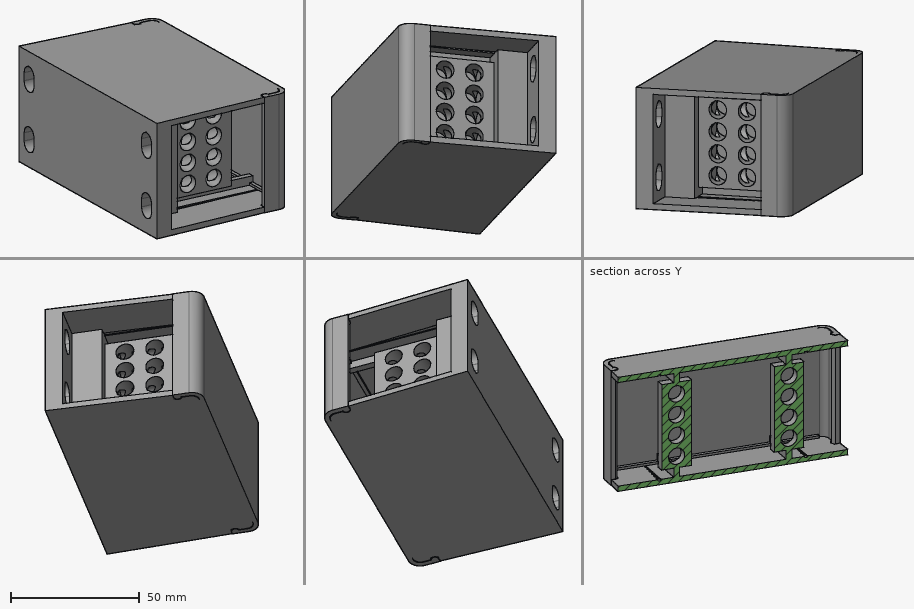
import cadquery as cq
import math

LENGTH = 100.0
DEPTH = 62.0
HEIGHT = 48.0
PLATE = 2.4
FRONT_WALL = 7.0
SIDE_DRAFT = 2.0

LID_HALF_WIDTH = 48.4
LID_WALL = 2.0
LID_SKIRT = 11.4
LID_RADIUS = 4.9
BEAD_RADIUS = 1.5
BEAD_INSET = 1.6
SIDE_GAP = 0.3
SHOULDER_GAP = 0.1

SLOT_WIDTH = 7.1
SLOT_LENGTH = 10.5
SLOT_PITCH_X = 85.1
SLOT_PITCH_Z = 25.0

BASE_HALF_WIDTH = 35.0
BASE_RISE = 12.0

BLOCK_CENTRE_X = 23.7
BLOCK_THICKNESS = 12.6
BLOCK_RISE = 27.9
BLOCK_MARGIN = 6.0

HOLE_DIAMETER = 7.1
HOLE_DEPTH = 10.0
HOLE_PITCH_Y = 11.9
HOLE_PITCH_Z = 8.7
HOLE_ROWS = 4
HOLE_COLUMNS = 2
HOLE_PATTERN_RISE = 13.9

BORE_DIAMETER = 6.6

RAIL_THICKNESS = 2.6

LEDGE_DEPTH = 1.6
LEDGE_HEIGHT = 1.0

GROOVE_INNER = 30.4
GROOVE_END_WIDTH = 0.6
GROOVE_DEPTH = 0.5

FRONT_Y = -DEPTH / 2
BACK_Y = DEPTH / 2
MID_Z = HEIGHT / 2
CAVITY_FRONT_Y = FRONT_Y + FRONT_WALL
BASE_TOP_Y = CAVITY_FRONT_Y + BASE_RISE
BLOCK_OUTER_X = BLOCK_CENTRE_X + BLOCK_THICKNESS / 2
BLOCK_TOP_Y = BASE_TOP_Y + BLOCK_RISE
HOLE_PATTERN_Y = BASE_TOP_Y + HOLE_PATTERN_RISE
SCREW_BORE_END_Y = HOLE_PATTERN_Y - (HOLE_PITCH_Y + HOLE_DIAMETER) / 2
LID_INNER_X = LID_HALF_WIDTH - LID_WALL
LID_INNER_Y = BACK_Y - LID_WALL
LID_INNER_RADIUS = LID_RADIUS - LID_WALL
LEDGE_Y = LID_INNER_Y - LEDGE_DEPTH
SKIRT_Y = BACK_Y - LID_SKIRT
BEAD_X = LID_HALF_WIDTH - BEAD_INSET
BEAD_Y = SKIRT_Y + BEAD_RADIUS
PLATE_HALF_WIDTH = LID_INNER_X - SIDE_GAP
PLATE_CORNER_RADIUS = LID_INNER_RADIUS + SIDE_GAP
DRAFT_SLOPE = math.tan(math.radians(SIDE_DRAFT))
SHOULDER_HALF_WIDTH = LENGTH / 2 - (SKIRT_Y - FRONT_Y) * DRAFT_SLOPE


def box(x_min, x_max, y_min, y_max, z_min, z_max):
    size = (x_max - x_min, y_max - y_min, z_max - z_min)
    return cq.Workplane("XY").box(*size, centered=False).translate((x_min, y_min, z_min))


def rounded_cover(half_width, y_min, y_max, radius):
    """Full-height block whose two corners on the lid side are rounded."""
    cover = box(-half_width, half_width, y_min, y_max, 0, HEIGHT)
    return cover.edges("|Z and >Y").fillet(radius)


def both_sides(solid):
    return solid.union(solid.mirror("YZ"))


def top_and_bottom(solid):
    return solid.union(solid.mirror("XY", (0, 0, MID_Z)))


def beads(radius):
    bead = cq.Workplane("XY").center(BEAD_X, BEAD_Y).circle(radius).extrude(HEIGHT)
    return both_sides(bead)


housing = (
    cq.Workplane("XY")
    .polyline([
        (-LENGTH / 2, FRONT_Y),
        (LENGTH / 2, FRONT_Y),
        (SHOULDER_HALF_WIDTH, SKIRT_Y),
        (-SHOULDER_HALF_WIDTH, SKIRT_Y),
    ])
    .close()
    .extrude(HEIGHT)
)
outside = housing.union(rounded_cover(LID_HALF_WIDTH, SKIRT_Y, BACK_Y, LID_RADIUS))

lid_inside = rounded_cover(LID_INNER_X, SKIRT_Y, LID_INNER_Y, LID_INNER_RADIUS)
lid_inside = lid_inside.cut(beads(BEAD_RADIUS))
window = box(-LENGTH, LENGTH, CAVITY_FRONT_Y, SKIRT_Y, 0, HEIGHT)
cavity_slab = box(-LENGTH, LENGTH, CAVITY_FRONT_Y, BACK_Y, PLATE, HEIGHT - PLATE)
cavity = lid_inside.union(window).intersect(cavity_slab)

plate_edge = rounded_cover(PLATE_HALF_WIDTH, SKIRT_Y, LID_INNER_Y, PLATE_CORNER_RADIUS)
plate_edge = plate_edge.cut(beads(BEAD_RADIUS + SIDE_GAP))
shoulder_clearance = both_sides(box(BEAD_X, LENGTH, SKIRT_Y - SHOULDER_GAP, SKIRT_Y, 0, HEIGHT))
clearance = lid_inside.cut(plate_edge).union(shoulder_clearance)

shell = outside.cut(cavity).cut(clearance)

slots = (
    cq.Workplane("XZ", origin=(0, FRONT_Y, MID_Z))
    .rarray(SLOT_PITCH_X, SLOT_PITCH_Z, 2, 2)
    .slot2D(SLOT_LENGTH, SLOT_WIDTH, 90)
    .extrude(-FRONT_WALL)
)

groove_end_x = GROOVE_INNER + GROOVE_END_WIDTH
groove = (
    cq.Workplane("XY", origin=(0, 0, PLATE - GROOVE_DEPTH))
    .polyline([
        (GROOVE_INNER, BASE_TOP_Y),
        (groove_end_x + (LEDGE_Y - BASE_TOP_Y) * DRAFT_SLOPE, BASE_TOP_Y),
        (groove_end_x, LEDGE_Y),
        (GROOVE_INNER, LEDGE_Y),
    ])
    .close()
    .extrude(GROOVE_DEPTH)
)
grooves = top_and_bottom(both_sides(groove))

base = box(-BASE_HALF_WIDTH, BASE_HALF_WIDTH, CAVITY_FRONT_Y, BASE_TOP_Y, PLATE, HEIGHT - PLATE)
block = box(
    BLOCK_OUTER_X - BLOCK_THICKNESS, BLOCK_OUTER_X,
    BASE_TOP_Y, BLOCK_TOP_Y,
    BLOCK_MARGIN, HEIGHT - BLOCK_MARGIN,
)
wire_holes = (
    cq.Workplane("YZ", origin=(BLOCK_OUTER_X, HOLE_PATTERN_Y, MID_Z))
    .rarray(HOLE_PITCH_Y, HOLE_PITCH_Z, HOLE_COLUMNS, HOLE_ROWS)
    .circle(HOLE_DIAMETER / 2)
    .extrude(-HOLE_DEPTH)
)
screw_bores = (
    cq.Workplane("XZ", origin=(BLOCK_CENTRE_X, BLOCK_TOP_Y, MID_Z))
    .rarray(1, HOLE_PITCH_Z, 1, HOLE_ROWS)
    .circle(BORE_DIAMETER / 2)
    .extrude(BLOCK_TOP_Y - SCREW_BORE_END_Y)
)
blocks = both_sides(block.cut(wire_holes).cut(screw_bores))

rail = box(
    BLOCK_CENTRE_X - RAIL_THICKNESS / 2, BLOCK_CENTRE_X + RAIL_THICKNESS / 2,
    BASE_TOP_Y, LID_INNER_Y,
    PLATE, BLOCK_MARGIN,
)
rails = top_and_bottom(both_sides(rail))
ledge_half_width = PLATE_HALF_WIDTH - PLATE_CORNER_RADIUS
ledge = box(-ledge_half_width, ledge_half_width, LEDGE_Y, LID_INNER_Y, PLATE, PLATE + LEDGE_HEIGHT)
ledges = top_and_bottom(ledge)

result = shell.cut(slots).cut(grooves).union(base).union(rails).union(ledges).union(blocks)